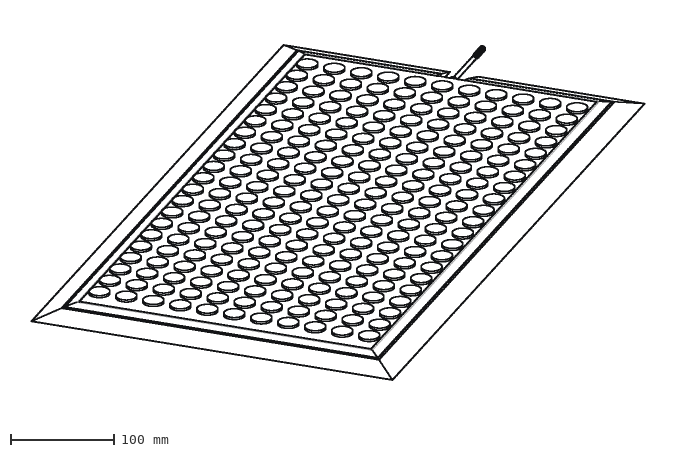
import cadquery as cq
import math

OVERALL_LENGTH = 728.5
OVERALL_HEIGHT = 14.0
FRAME_WIDTH = 374.5
FRAME_LENGTH = 679.0
FRAME_FRONT = -OVERALL_LENGTH / 2
FRAME_BACK = FRAME_FRONT + FRAME_LENGTH
FRAME_CENTER_Y = (FRAME_FRONT + FRAME_BACK) / 2
CABLE_END = OVERALL_LENGTH / 2

OUTER_RAMP_WIDTH = 22.5
OUTER_RAMP_HEIGHT = 8.0
LEDGE_WIDTH = 2.0
STEP_HEIGHT = 0.9
INNER_RAMP_WIDTH = 9.5
INNER_RAMP_HEIGHT = 2.55
LIP_WIDTH = 1.8
STEP_INSET = OUTER_RAMP_WIDTH + LEDGE_WIDTH
MAT_INSET = STEP_INSET + INNER_RAMP_WIDTH + LIP_WIDTH
NOTCH_WIDTH = 29.0

MAT_THICKNESS = 12.0
MAT_BACK = FRAME_BACK - MAT_INSET
STUD_DIAMETER = 20.5
STUD_COLUMNS = 11
STUD_ROWS = 21
STUD_FIELD_WIDTH = 280.0
STUD_FIELD_CENTER_Y = -24.0
STUD_PITCH = STUD_FIELD_WIDTH / (STUD_COLUMNS - 1)

CABLE_AXIS_Z = 6.0
CABLE_DIAMETER = 4.5
SLEEVE_DIAMETER = 8.0
SLEEVE_LENGTH = 7.0
TIP_DIAMETER = 6.0
TIP_LENGTH = 3.0
PIN_DIAMETER = 1.5
PIN_SPACING = 4.5
PIN_COUNT = 2
PIN_GAP = 4.0
NUT_DIAMETER = 6.0
NUT_LENGTH = 12.0
NUT_SIDES = 16
GRIP_DIAMETER = 4.5
GRIP_LENGTH = 6.0
GRIP_SIDES = 12


def inset_rectangle(inset, z):
    """The frame's outer rectangle moved inwards by `inset`, at height `z`."""
    return (
        cq.Workplane("XY", origin=(0, FRAME_CENTER_Y, z))
        .rect(FRAME_WIDTH - 2 * inset, FRAME_LENGTH - 2 * inset)
    )


def ramp_angle(width, height):
    """Taper from the vertical, in degrees, of a ramp of this width and height."""
    return math.degrees(math.atan2(width, height))


def make_frame():
    step_top = OUTER_RAMP_HEIGHT + STEP_HEIGHT
    outer_ramp = inset_rectangle(0, 0).extrude(
        OUTER_RAMP_HEIGHT, taper=ramp_angle(OUTER_RAMP_WIDTH, OUTER_RAMP_HEIGHT)
    )
    step = inset_rectangle(STEP_INSET, OUTER_RAMP_HEIGHT).extrude(STEP_HEIGHT)
    inner_ramp = inset_rectangle(STEP_INSET, step_top).extrude(
        INNER_RAMP_HEIGHT, taper=ramp_angle(INNER_RAMP_WIDTH, INNER_RAMP_HEIGHT)
    )
    mat_opening = inset_rectangle(MAT_INSET, 0).extrude(OVERALL_HEIGHT)
    cable_notch = (
        cq.Workplane("XY", origin=(0, MAT_BACK, 0))
        .rect(NOTCH_WIDTH, 2 * MAT_INSET)
        .extrude(OVERALL_HEIGHT)
    )
    return outer_ramp.union(step).union(inner_ramp).cut(mat_opening).cut(cable_notch)


def make_mat():
    sheet = inset_rectangle(MAT_INSET, 0).extrude(MAT_THICKNESS)
    studs = (
        cq.Workplane("XY", origin=(0, STUD_FIELD_CENTER_Y, MAT_THICKNESS))
        .rarray(STUD_PITCH, STUD_PITCH, STUD_COLUMNS, STUD_ROWS)
        .circle(STUD_DIAMETER / 2)
        .extrude(OVERALL_HEIGHT - MAT_THICKNESS)
    )
    return sheet.union(studs)


def cable_plane(y):
    """Workplane across the cable at `y`; extruding goes away from the mat (+Y)."""
    plane = cq.Plane(origin=(0, y, CABLE_AXIS_Z), xDir=(1, 0, 0), normal=(0, 1, 0))
    return cq.Workplane(plane)


def make_cable():
    pins_end = CABLE_END - TIP_LENGTH
    nut_end = pins_end - PIN_GAP
    grip_end = nut_end - NUT_LENGTH
    cord_end = grip_end - GRIP_LENGTH
    sleeve = cable_plane(MAT_BACK).circle(SLEEVE_DIAMETER / 2).extrude(SLEEVE_LENGTH)
    cord = cable_plane(MAT_BACK).circle(CABLE_DIAMETER / 2).extrude(cord_end - MAT_BACK)
    grip = cable_plane(cord_end).polygon(GRIP_SIDES, GRIP_DIAMETER).extrude(GRIP_LENGTH)
    nut = cable_plane(grip_end).polygon(NUT_SIDES, NUT_DIAMETER).extrude(NUT_LENGTH)
    pins = (
        cable_plane(nut_end)
        .rarray(PIN_SPACING, PIN_SPACING, 1, PIN_COUNT)
        .circle(PIN_DIAMETER / 2)
        .extrude(PIN_GAP)
    )
    tip = cable_plane(pins_end).circle(TIP_DIAMETER / 2).extrude(TIP_LENGTH)
    return sleeve.union(cord).union(grip).union(nut).union(pins).union(tip)


frame = make_frame()
mat = make_mat()
cable = make_cable()

result = cq.Compound.makeCompound([frame.solids().val(), mat.solids().val(), cable.solids().val()])